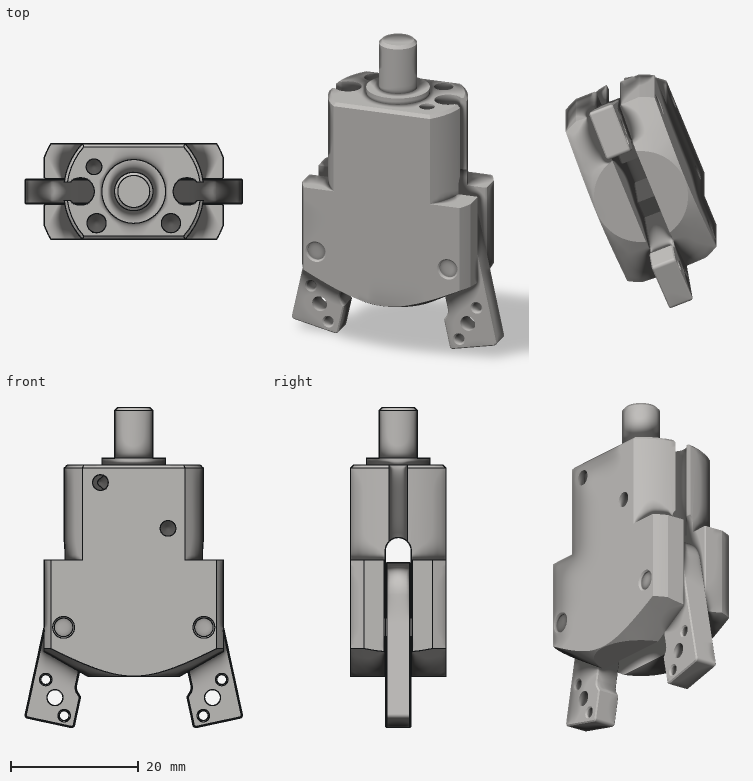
import cadquery as cq
import math


THICKNESS = 15.0
NECK_DIAMETER = 21.95
NECK_TOP = 33.15
NECK_CHAMFER = 0.5
SHOULDER_WIDTH = 28.05
SHOULDER_CORNER_DIAMETER = 30.0
SHOULDER_TOP = 18.3
UNDERSIDE_RADIUS = 7.35
UNDERSIDE_SLOPE = 30

COLLAR_DIAMETER = 10.0
COLLAR_HEIGHT = 1.05
SHAFT_DIAMETER = 6
SHAFT_TOP = 42.2
SHAFT_CHAMFER = 0.5

SLOT_WIDTH = 4.0
SLOT_TOP = 21.75
RELIEF_DIAMETER = 4.3
RELIEF_OFFSET = 8.3
SLOT_EDGE_CHAMFER = 0.2
SLIT_WIDTH = 2.9

DRILL_POINT_ANGLE = 118
SMALL_HOLE_DIAMETER = 2.45
LARGE_HOLE_DIAMETER = 3
FRONT_HOLE_DEPTH = 3.55
FRONT_HOLES = [(-5.2, 30.4), (5.35, 23.2)]
TOP_HOLE_DEPTH = 6
TOP_LARGE_HOLES = [(-5.8, -4.95), (5.8, -4.95)]
TOP_SMALL_HOLE = (-6.2, 3.85)

PIN_DIAMETER = 2.9
PIN_OFFSET = 11.0
PIN_Z = 7.7
PIN_RECESS = 0.5
PIN_HOLE_CHAMFER = 0.25

FINGER_TILT = 12.2
FINGER_WIDTH = 3.95
FINGER_OUTER = -3
FINGER_INNER = 3.9
FINGER_TIP = -15.1
PAD_STEP = 1
PAD_TOP = -10.1
PAD_FILLET = 1.5
SHOULDER_ARC_RADIUS = 5
SHOULDER_ARC_ALONG = 4.75
ARM_SLOPE = 20
ARM_END = 6.75
ARM_UNDERSIDE = 4.75
FINGER_CHAMFER = 0.2
TIP_FILLET = 0.5
JAW_HOLE_DIAMETER = 1.5
JAW_HOLE_CHAMFER = 0.225
JAW_CENTRE = (1, -11.05)
JAW_PITCH = (2, -2.45)


def drill(start, direction, diameter, depth):
    """Blind drilled hole with a conical bottom."""
    radius = diameter / 2
    point = radius / math.tan(math.radians(DRILL_POINT_ANGLE / 2))
    barrel = cq.Solid.makeCylinder(radius, depth, start, direction)
    tip = cq.Solid.makeCone(radius, 0, point, start + direction * depth, direction)
    return cq.Workplane(barrel.fuse(tip))


def countersunk_hole(diameter, chamfer, length):
    """Through hole along Y, centred on the origin and bevelled at both mouths."""
    radius = diameter / 2
    face = length / 2
    mouth = radius + chamfer
    return (
        cq.Workplane("XY")
        .polyline([
            (0, -face),
            (mouth, -face),
            (radius, chamfer - face),
            (radius, face - chamfer),
            (mouth, face),
            (0, face),
        ])
        .close()
        .revolve(360, (0, 0), (0, 1))
    )


def make_neck():
    """Upper cylinder with two flat sides and a chamfered top, standing on the shoulder."""
    base = cq.Workplane("XY", origin=(0, 0, SHOULDER_TOP))
    height = NECK_TOP - SHOULDER_TOP
    cylinder = base.circle(NECK_DIAMETER / 2).extrude(height)
    slab = base.rect(NECK_DIAMETER, THICKNESS).extrude(height)
    return cylinder.intersect(slab).faces(">Z").chamfer(NECK_CHAMFER)


def make_shoulder():
    """Wide lower block, rounded at the corners and coned underneath."""
    block = cq.Workplane("XY").box(SHOULDER_WIDTH, THICKNESS, SHOULDER_TOP, centered=(True, True, False))
    corner_radius = SHOULDER_CORNER_DIAMETER / 2
    cone_rise = (corner_radius - UNDERSIDE_RADIUS) * math.tan(math.radians(UNDERSIDE_SLOPE))
    envelope = (
        cq.Workplane("XZ")
        .polyline([
            (0, 0),
            (UNDERSIDE_RADIUS, 0),
            (corner_radius, cone_rise),
            (corner_radius, SHOULDER_TOP),
            (0, SHOULDER_TOP),
        ])
        .close()
        .revolve(360, (0, 0), (0, 1))
    )
    return block.intersect(envelope)


def make_upper_shaft():
    collar = (
        cq.Workplane("XY", origin=(0, 0, NECK_TOP))
        .circle(COLLAR_DIAMETER / 2)
        .extrude(COLLAR_HEIGHT)
    )
    shaft = (
        cq.Workplane("XY", origin=(0, 0, NECK_TOP))
        .circle(SHAFT_DIAMETER / 2)
        .extrude(SHAFT_TOP - NECK_TOP)
        .faces(">Z")
        .chamfer(SHAFT_CHAMFER)
    )
    return collar.union(shaft)


def make_finger_slot():
    """Round-topped slot along X that is open at the underside."""
    half = SLOT_WIDTH / 2
    return (
        cq.Workplane("YZ")
        .moveTo(-half, 0)
        .lineTo(-half, SLOT_TOP - half)
        .threePointArc((0, SLOT_TOP), (half, SLOT_TOP - half))
        .lineTo(half, 0)
        .close()
        .extrude(SHOULDER_WIDTH, both=True)
    )


def make_slot_edge_chamfer(side):
    """Wedge, as tall as the shoulder, that bevels both edges of the slot on one side face."""
    half = SLOT_WIDTH / 2
    face = side * SHOULDER_WIDTH / 2
    inner = face - side * SLOT_EDGE_CHAMFER
    return (
        cq.Workplane("XY")
        .polyline([
            (face, -half - SLOT_EDGE_CHAMFER),
            (face, half + SLOT_EDGE_CHAMFER),
            (inner, half),
            (inner, -half),
        ])
        .close()
        .extrude(SHOULDER_TOP)
    )


def make_relief(side):
    """Bore from the top down to the shoulder, with a slit to the outside."""
    height = NECK_TOP - SHOULDER_TOP
    base = cq.Workplane("XY", origin=(side * RELIEF_OFFSET, 0, SHOULDER_TOP))
    bore = base.circle(RELIEF_DIAMETER / 2).extrude(height)
    slit = (
        base.center(side * NECK_DIAMETER / 4, 0)
        .rect(NECK_DIAMETER / 2, SLIT_WIDTH)
        .extrude(height)
    )
    return bore.union(slit)


def make_housing():
    housing = make_neck().union(make_shoulder()).union(make_upper_shaft())
    housing = housing.cut(make_finger_slot())
    for side in (-1, 1):
        housing = housing.cut(make_slot_edge_chamfer(side))
        housing = housing.cut(make_relief(side))
        pin_hole = countersunk_hole(PIN_DIAMETER, PIN_HOLE_CHAMFER, THICKNESS)
        housing = housing.cut(pin_hole.translate((side * PIN_OFFSET, 0, PIN_Z)))
    for x, z in FRONT_HOLES:
        start = cq.Vector(x, -THICKNESS / 2, z)
        housing = housing.cut(drill(start, cq.Vector(0, 1, 0), SMALL_HOLE_DIAMETER, FRONT_HOLE_DEPTH))
    down = cq.Vector(0, 0, -1)
    for x, y in TOP_LARGE_HOLES:
        housing = housing.cut(drill(cq.Vector(x, y, NECK_TOP), down, LARGE_HOLE_DIAMETER, TOP_HOLE_DEPTH))
    small_start = cq.Vector(*TOP_SMALL_HOLE, NECK_TOP)
    return housing.cut(drill(small_start, down, SMALL_HOLE_DIAMETER, TOP_HOLE_DEPTH))


def make_left_finger():
    """Finger modelled upright about its pivot, then tilted and moved to its pin."""
    arc_centre = FINGER_OUTER + SHOULDER_ARC_RADIUS

    def on_arc(degrees_from_along):
        angle = math.radians(degrees_from_along)
        return (
            arc_centre - SHOULDER_ARC_RADIUS * math.sin(angle),
            SHOULDER_ARC_ALONG + SHOULDER_ARC_RADIUS * math.cos(angle),
        )

    arc_end = on_arc(ARM_SLOPE)
    arm_top = arc_end[1] + (ARM_END - arc_end[0]) * math.tan(math.radians(ARM_SLOPE))
    finger = (
        cq.Workplane("XZ")
        .moveTo(FINGER_OUTER, FINGER_TIP)
        .lineTo(FINGER_OUTER, SHOULDER_ARC_ALONG)
        .threePointArc(on_arc((90 + ARM_SLOPE) / 2), arc_end)
        .lineTo(ARM_END, arm_top)
        .lineTo(ARM_END, ARM_UNDERSIDE)
        .lineTo(FINGER_INNER, ARM_UNDERSIDE)
        .lineTo(FINGER_INNER, PAD_TOP + PAD_STEP)
        .lineTo(FINGER_INNER + PAD_STEP, PAD_TOP)
        .lineTo(FINGER_INNER + PAD_STEP, FINGER_TIP)
        .close()
        .extrude(FINGER_WIDTH / 2, both=True)
        .faces("<Z")
        .edges("|Y")
        .fillet(TIP_FILLET)
        .edges(cq.selectors.NearestToPointSelector((FINGER_INNER, 0, PAD_TOP + PAD_STEP)))
        .fillet(PAD_FILLET)
        .faces("<Y or >Y")
        .chamfer(FINGER_CHAMFER)
    )
    face = cq.Workplane("XZ", origin=(0, FINGER_WIDTH / 2, 0))
    pivot = face.circle(PIN_DIAMETER / 2).extrude(FINGER_WIDTH)
    centre_hole = face.center(*JAW_CENTRE).circle(SMALL_HOLE_DIAMETER / 2).extrude(FINGER_WIDTH)
    finger = finger.cut(pivot).cut(centre_hole)
    for sign in (-1, 1):
        across = JAW_CENTRE[0] + sign * JAW_PITCH[0]
        along = JAW_CENTRE[1] + sign * JAW_PITCH[1]
        hole = countersunk_hole(JAW_HOLE_DIAMETER, JAW_HOLE_CHAMFER, FINGER_WIDTH)
        finger = finger.cut(hole.translate((across, 0, along)))
    return finger.rotate((0, 0, 0), (0, 1, 0), FINGER_TILT).translate((-PIN_OFFSET, 0, PIN_Z))


def make_pin(side):
    """Pivot pin whose ends sit below both housing faces."""
    length = THICKNESS - 2 * PIN_RECESS
    return (
        cq.Workplane("XZ", origin=(side * PIN_OFFSET, length / 2, PIN_Z))
        .circle(PIN_DIAMETER / 2)
        .extrude(length)
    )


housing = make_housing()
left_finger = make_left_finger()
right_finger = left_finger.mirror("YZ")
pins = [make_pin(side) for side in (-1, 1)]

result = cq.Compound.makeCompound([
    housing.val(),
    left_finger.val(),
    right_finger.val(),
    *[pin.val() for pin in pins],
])